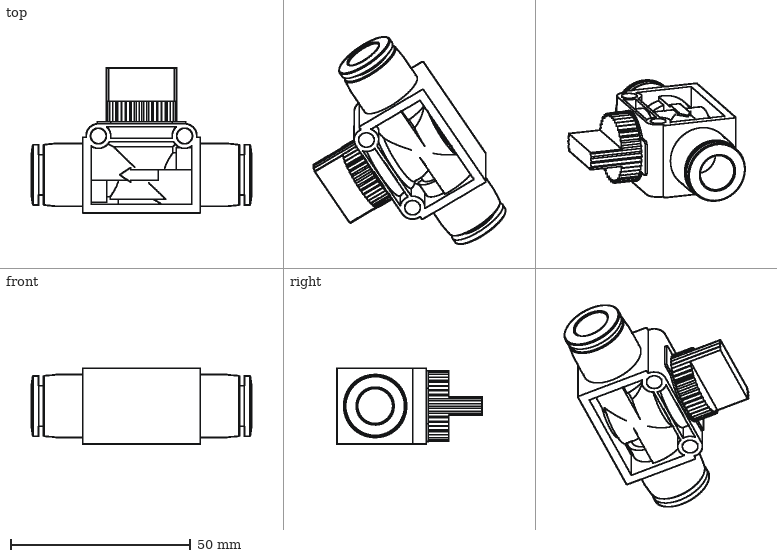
import cadquery as cq
import math


body_half_length = 16.45
body_half_depth = 10.6
body_bottom = -10.65
side_wall_top = 10.55
side_wall = 2.4
bottom_wall = 2.5
body_corner_radius = 0.3

boss_x = 12.0
boss_y = 10.85
boss_radius = 3.45
mount_hole_radius = 2.15
boss_top = boss_y + boss_radius

top_wall = 0.85
rib_low = 9.3
rib_high = 10.2
web_thickness = 1.5
cavity_half_length = body_half_length - side_wall
cavity_bottom = body_bottom + bottom_wall
cavity_top = boss_top - top_wall

chamber_radius = 8.75
chamber_bottom = -6.85
chamber_foot_radius = 6.45
seat_radius = 10.15
seat_cone_bottom = 7.8

passage_step = 1.5
passage_radius = 8.8
socket_radius = 7.65
socket_end_x = 9.75
port_radius = 6.15

arrow_tip_x = -6.1
arrow_neck_x = -3.0
arrow_tail_x = 4.6
arrow_head_half_width = 2.05
arrow_top = 9.25

fitting_end = 30.8
taper_start = 23.7
taper_bend = 26.1
sleeve_end = 27.4
collar_start = 28.7
collar_edge = 30.35
collar_chamfer = 0.25
taper_bend_radius = 8.55
sleeve_end_radius = 8.45
sleeve_chamfer = 0.25
neck_radius = 5.65
collar_radius = 8.45
bore_radius = 4.85
bore_mouth_radius = 5.3
bore_depth = 15.4
bore_rim_radius = 5.0
bore_rim_depth = 0.3
bore_lead_in = 0.75

pad_height = 0.55
pad_radius = 9.9
pad_half_length = 12.4
pad_half_width = 4.9
pad_corner_radius = 0.8
knob_tip_radius = 9.8
knob_root_radius = 9.05
tooth_pitch = 8.6
side_teeth = 5
run_half_angle = 45
knob_base = boss_top + pad_height
knob_shoulder = 20.6
handle_top = 29.8
handle_half_thickness = 2.5


def box(x_range, y_range, z_range):
    """Box between two limits on each axis."""
    sizes = [high - low for low, high in (x_range, y_range, z_range)]
    corner = (x_range[0], y_range[0], z_range[0])
    return cq.Workplane("XY").box(*sizes, centered=False).translate(corner)


def cylinder_x(radius, x_low, x_high):
    """Cylinder on the X axis."""
    return cq.Workplane("YZ", origin=(x_low, 0, 0)).circle(radius).extrude(x_high - x_low)


def spindle_plane(y):
    """Sketch plane facing +Y; its local x axis is X."""
    return cq.Workplane(cq.Plane(origin=(0, y, 0), xDir=(1, 0, 0), normal=(0, 1, 0)))


def cylinder_y(radius, y_low, y_high):
    """Cylinder on the Y axis."""
    return spindle_plane(y_low).circle(radius).extrude(y_high - y_low)


def both_bosses(radius):
    """Full-depth cylinders at the two mounting positions."""
    plane = cq.Workplane("XY", origin=(0, 0, -body_half_depth))
    centers = [(-boss_x, boss_y), (boss_x, boss_y)]
    return plane.pushPoints(centers).circle(radius).extrude(2 * body_half_depth)


def turned_half(shape):
    """A shape together with its copy turned half a turn about Z."""
    return shape.union(shape.rotate((0, 0, 0), (0, 0, 1), 180))


def frame():
    depth = (-body_half_depth, body_half_depth)
    body = box((-body_half_length, body_half_length), (body_bottom, side_wall_top), depth)
    body = body.edges("|Z").fillet(body_corner_radius)
    body = body.union(box((-boss_x, boss_x), (0, boss_top), depth))

    cavity_length = (-cavity_half_length, cavity_half_length)
    cavity = box(cavity_length, (cavity_bottom, rib_low), depth)
    cavity = cavity.union(box((-boss_x, boss_x), (rib_high, cavity_top), depth))
    web = box(cavity_length, (cavity_bottom, cavity_top), (-web_thickness / 2, web_thickness / 2))
    return body.cut(cavity.cut(web)).union(both_bosses(boss_radius))


def valve_chamber():
    outline = [
        (0, cavity_bottom),
        (chamber_foot_radius, cavity_bottom),
        (chamber_foot_radius, chamber_bottom),
        (chamber_radius, chamber_bottom),
        (chamber_radius, seat_cone_bottom),
        (seat_radius, rib_low),
        (seat_radius, cavity_top),
        (0, cavity_top),
    ]
    return cq.Workplane("XY").polyline(outline).close().revolve(360, (0, 0, 0), (0, 1, 0))


def left_passage():
    """Wide half-passage above the step, with the narrower socket and port showing below it."""
    wide = cylinder_x(passage_radius, -cavity_half_length, 0)
    depth = (-body_half_depth, body_half_depth)
    wide = wide.intersect(box((-cavity_half_length, 0), (-passage_step, passage_radius), depth))
    socket = cylinder_x(socket_radius, -cavity_half_length, -socket_end_x)
    port = cylinder_x(port_radius, -socket_end_x, 0)
    return wide.union(socket).union(port)


def flow_arrow():
    head = [
        (arrow_tip_x, 0),
        (arrow_neck_x, arrow_head_half_width),
        (arrow_neck_x, -arrow_head_half_width),
    ]
    arrow = cq.Workplane("XY").polyline(head).close().extrude(arrow_top)
    return arrow.union(box((arrow_neck_x, arrow_tail_x), (-passage_step, passage_step), (0, arrow_top)))


def left_fitting():
    outline = [
        (-cavity_half_length, 0),
        (-cavity_half_length, passage_radius),
        (-taper_start, passage_radius),
        (-taper_bend, taper_bend_radius),
        (-sleeve_end + sleeve_chamfer, sleeve_end_radius),
        (-sleeve_end, sleeve_end_radius - sleeve_chamfer),
        (-sleeve_end, neck_radius),
        (-collar_start, neck_radius),
        (-collar_start, collar_radius),
        (-collar_edge + collar_chamfer, collar_radius),
        (-collar_edge, collar_radius - collar_chamfer),
        (-fitting_end, bore_mouth_radius),
        (-fitting_end, 0),
    ]
    return cq.Workplane("XY").polyline(outline).close().revolve(360, (0, 0, 0), (1, 0, 0))


def left_bore():
    """Blind tube bore with a two-stage lead-in at its mouth."""
    outline = [
        (-fitting_end, 0),
        (-fitting_end, bore_mouth_radius),
        (-fitting_end + bore_rim_depth, bore_rim_radius),
        (-fitting_end + bore_lead_in, bore_radius),
        (-fitting_end + bore_depth, bore_radius),
        (-fitting_end + bore_depth, 0),
    ]
    return cq.Workplane("XY").polyline(outline).close().revolve(360, (0, 0, 0), (1, 0, 0))


def knob_pad():
    """Low pad: a disc crossed by a rounded bar."""
    bar = spindle_plane(boss_top).rect(2 * pad_half_length, 2 * pad_half_width).extrude(pad_height)
    bar = bar.edges("|Y").fillet(pad_corner_radius)
    return bar.union(cylinder_y(pad_radius, boss_top, knob_base))


def polar(radius, degrees):
    """Point at a radius and angle."""
    angle = math.radians(degrees)
    return radius * math.cos(angle), radius * math.sin(angle)


def knurl_outline():
    """Four equal runs of pointed teeth, each centred on X or Z; the valleys between runs are shallower."""
    last_tip = side_teeth * tooth_pitch
    depth_share = (run_half_angle - last_tip) / (tooth_pitch / 2)
    joint_radius = knob_tip_radius - depth_share * (knob_tip_radius - knob_root_radius)
    outline = []
    for run_center in range(0, 360, 2 * run_half_angle):
        for index in range(-side_teeth, side_teeth + 1):
            tip = run_center + index * tooth_pitch
            outline.append(polar(knob_tip_radius, tip))
            if index < side_teeth:
                outline.append(polar(knob_root_radius, tip + tooth_pitch / 2))
        outline.append(polar(joint_radius, run_center + run_half_angle))
    return outline


def knob():
    """Knurled disc cut down to a flat handle above its shoulder."""
    grip = spindle_plane(knob_base).polyline(knurl_outline()).close().extrude(handle_top - knob_base)

    span = (-knob_tip_radius, knob_tip_radius)
    height = (knob_shoulder, handle_top)
    grip = grip.cut(box(span, height, (handle_half_thickness, knob_tip_radius)))
    return grip.cut(box(span, height, (-knob_tip_radius, -handle_half_thickness)))


result = (
    frame()
    .union(valve_chamber())
    .union(turned_half(left_passage()))
    .union(flow_arrow())
    .union(turned_half(left_fitting()))
    .union(knob_pad())
    .union(knob())
    .cut(turned_half(left_bore()))
    .cut(both_bosses(mount_hole_radius))
)